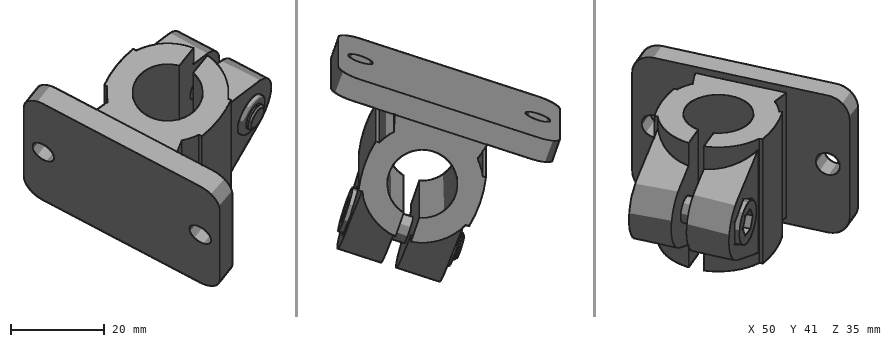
import cadquery as cq
import math

PLATE_WIDTH = 50
PLATE_HEIGHT = 35
PLATE_THICKNESS = 5
PLATE_CORNER_RADIUS = 5
MOUNT_HOLE_DIAMETER = 5.5
MOUNT_HOLE_SPACING = 40

BORE_Y = 18
BORE_DIAMETER = 15
RING_RADIUS = 13
CLAMP_HEIGHT = 31.8
SLIT_WIDTH = 3.5

PAD_EDGE_X = 12.45
PAD_CROWN_X = 13.05
PAD_LENGTH = 11.4

FOOT_BASE_WIDTH = 21
FOOT_SIDE_ANGLE = 15

EAR_SPAN = 23
EAR_RADIUS = 8.5
BOLT_Y = 32.5

BOLT_DIAMETER = 6
HEAD_DIAMETER = 9.9
HEAD_LENGTH = 6
HEAD_PROTRUSION = 1
HEAD_POCKET_WIDTH = 10
SOCKET_WIDTH = 5
SOCKET_DEPTH = 3
BOLT_TIP_LENGTH = 2
BOLT_TIP_CHAMFER = 0.5

NUT_DIAMETER = 9.6
NUT_LENGTH = 1
NUT_RIM_RADIUS = 0.5

EAR_FACE_X = EAR_SPAN / 2
HEAD_FACE_X = -EAR_FACE_X - HEAD_PROTRUSION
BOLT_END_X = EAR_FACE_X + BOLT_TIP_LENGTH

CORNERS_ALONG_Y = 0
CORNERS_ALONG_Z = 30


def make_plate():
    plate = (
        cq.Workplane("XZ")
        .rect(PLATE_WIDTH, PLATE_HEIGHT)
        .extrude(-PLATE_THICKNESS)
        .edges("|Y")
        .fillet(PLATE_CORNER_RADIUS)
    )
    holes = (
        cq.Workplane("XZ")
        .rarray(MOUNT_HOLE_SPACING, 0.5, 2, 1)
        .circle(MOUNT_HOLE_DIAMETER / 2)
        .extrude(-PLATE_THICKNESS)
    )
    return plate.cut(holes)


def clamp_plane():
    """Horizontal plane at the bottom of the clamp, centred on the bore."""
    return cq.Workplane("XY", origin=(0, BORE_Y, -CLAMP_HEIGHT / 2))


def make_ring():
    return clamp_plane().circle(RING_RADIUS).extrude(CLAMP_HEIGHT)


def make_pads():
    half_length = PAD_LENGTH / 2
    return (
        clamp_plane()
        .moveTo(-PAD_EDGE_X, -half_length)
        .lineTo(PAD_EDGE_X, -half_length)
        .threePointArc((PAD_CROWN_X, 0), (PAD_EDGE_X, half_length))
        .lineTo(-PAD_EDGE_X, half_length)
        .threePointArc((-PAD_CROWN_X, 0), (-PAD_EDGE_X, -half_length))
        .close()
        .extrude(CLAMP_HEIGHT)
    )


def make_foot():
    length = BORE_Y - PLATE_THICKNESS
    base_half = FOOT_BASE_WIDTH / 2
    top_half = base_half - length * math.tan(math.radians(FOOT_SIDE_ANGLE))
    return (
        clamp_plane()
        .polyline([(-base_half, -length), (base_half, -length), (top_half, 0), (-top_half, 0)])
        .close()
        .extrude(CLAMP_HEIGHT)
    )


def make_ears():
    """Teardrop ears whose straight sides start at the top and bottom of the bore axis."""
    reach = BOLT_Y - BORE_Y
    half_height = CLAMP_HEIGHT / 2
    corner_distance = math.hypot(reach, half_height)
    tangent_angle = math.atan2(half_height, reach) - math.asin(EAR_RADIUS / corner_distance)
    tangent_y = BOLT_Y + EAR_RADIUS * math.sin(tangent_angle)
    tangent_z = EAR_RADIUS * math.cos(tangent_angle)
    return (
        cq.Workplane("YZ", origin=(-EAR_FACE_X, 0, 0))
        .moveTo(BORE_Y, -half_height)
        .lineTo(tangent_y, -tangent_z)
        .threePointArc((BOLT_Y + EAR_RADIUS, 0), (tangent_y, tangent_z))
        .lineTo(BORE_Y, half_height)
        .close()
        .extrude(EAR_SPAN)
    )


def make_bore_and_slit():
    bore = clamp_plane().circle(BORE_DIAMETER / 2).extrude(CLAMP_HEIGHT)
    slit_length = BOLT_Y + EAR_RADIUS - BORE_Y
    slit = (
        clamp_plane()
        .center(0, slit_length / 2)
        .rect(SLIT_WIDTH, slit_length)
        .extrude(CLAMP_HEIGHT)
    )
    return bore.union(slit)


def bolt_plane(x):
    """Plane across the bolt axis at the given X, facing +X."""
    return cq.Workplane("YZ", origin=(x, BOLT_Y, 0))


def hexagon(x, width, length, turn):
    """Hexagonal prism of a width across flats, turned about the bolt axis."""
    corner_diameter = width / math.cos(math.pi / 6)
    prism = bolt_plane(x).polygon(6, corner_diameter).extrude(length)
    return prism.rotate((0, BOLT_Y, 0), (1, BOLT_Y, 0), turn)


def make_head_pocket():
    return hexagon(-EAR_FACE_X, HEAD_POCKET_WIDTH, HEAD_LENGTH - HEAD_PROTRUSION, CORNERS_ALONG_Z)


def make_bolt():
    shank = (
        bolt_plane(HEAD_FACE_X)
        .circle(BOLT_DIAMETER / 2)
        .extrude(BOLT_END_X - HEAD_FACE_X)
        .faces(">X")
        .chamfer(BOLT_TIP_CHAMFER)
    )
    head = bolt_plane(HEAD_FACE_X).circle(HEAD_DIAMETER / 2).extrude(HEAD_LENGTH)
    socket = hexagon(HEAD_FACE_X, SOCKET_WIDTH, SOCKET_DEPTH, CORNERS_ALONG_Y)
    return shank.union(head).cut(socket)


def make_nut():
    return (
        bolt_plane(EAR_FACE_X)
        .circle(NUT_DIAMETER / 2)
        .extrude(NUT_LENGTH)
        .faces(">X")
        .edges()
        .fillet(NUT_RIM_RADIUS)
    )


clamp = make_ring().union(make_pads()).union(make_foot()).union(make_ears())
clamp = clamp.cut(make_bore_and_slit()).cut(make_head_pocket())
result = make_plate().union(clamp).union(make_bolt()).union(make_nut())